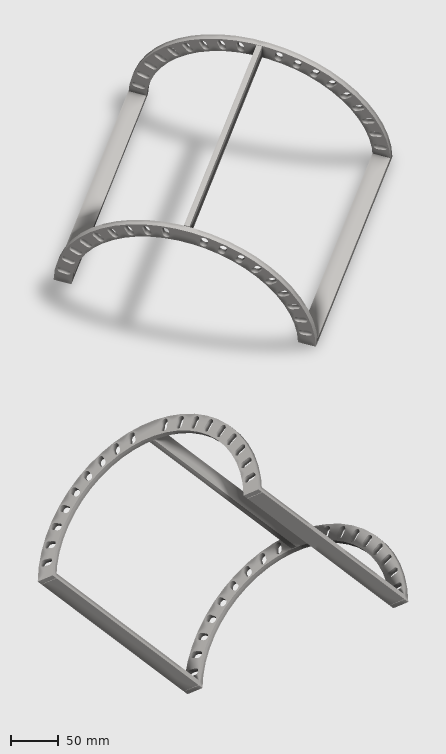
import math

import cadquery as cq


outer_radius = 145.0
frame_depth = 264.0
foot_cut = 1.5

stock_width = 19.7
arch_thickness = 6.5
bar_thickness = 6.0
bar_gap = 0.5

slot_length = 14.8
slot_width = 8.0
slot_pitch_angle = 9.0
slots_per_side = 9

inner_radius = outer_radius - stock_width
middle_radius = (outer_radius + inner_radius) / 2
bar_length = frame_depth - 2 * (arch_thickness + bar_gap)
arch_offset = (frame_depth - arch_thickness) / 2
bar_top = foot_cut + bar_thickness


def half_chord(radius, height):
    """X distance from the arch centre line to a circle of this radius at this height."""
    return math.sqrt(radius**2 - height**2)


outer_foot_x = half_chord(outer_radius, foot_cut)
inner_foot_x = half_chord(inner_radius, foot_cut)


def slot_cutter(angle):
    """Radial slot at the given angle above the +X axis."""
    return (
        cq.Workplane("XZ")
        .center(middle_radius, 0)
        .slot2D(slot_length, slot_width)
        .extrude(arch_thickness, both=True)
        .rotate((0, 0, 0), (0, 1, 0), -angle)
    )


def arch(y_middle):
    """Half-ring plate with flat feet and a row of radial slots on each side of its apex."""
    plate = (
        cq.Workplane("XZ")
        .moveTo(-outer_foot_x, foot_cut)
        .threePointArc((0, outer_radius), (outer_foot_x, foot_cut))
        .lineTo(inner_foot_x, foot_cut)
        .threePointArc((0, inner_radius), (-inner_foot_x, foot_cut))
        .close()
        .extrude(arch_thickness / 2, both=True)
    )
    for step in range(1, slots_per_side + 1):
        angle = step * slot_pitch_angle
        plate = plate.cut(slot_cutter(angle))
        plate = plate.cut(slot_cutter(180 - angle))
    return plate.translate((0, y_middle, 0))


def foot_bar(side):
    """Low bar between the arch feet on one side (-1 for -X, +1 for +X), curved like the arches."""
    return (
        cq.Workplane("XZ")
        .moveTo(side * outer_foot_x, foot_cut)
        .radiusArc((side * half_chord(outer_radius, bar_top), bar_top), -side * outer_radius)
        .lineTo(side * half_chord(inner_radius, bar_top), bar_top)
        .radiusArc((side * inner_foot_x, foot_cut), side * inner_radius)
        .close()
        .extrude(bar_length / 2, both=True)
    )


def ridge_bar():
    """Upright bar between the apexes of the arches."""
    bar = cq.Workplane("XY").box(bar_thickness, bar_length, stock_width)
    return bar.translate((0, 0, middle_radius))


arches = [arch(side * arch_offset) for side in (-1, 1)]
foot_bars = [foot_bar(side) for side in (-1, 1)]
ridge = ridge_bar()

result = cq.Compound.makeCompound([body.val() for body in [*arches, *foot_bars, ridge]])